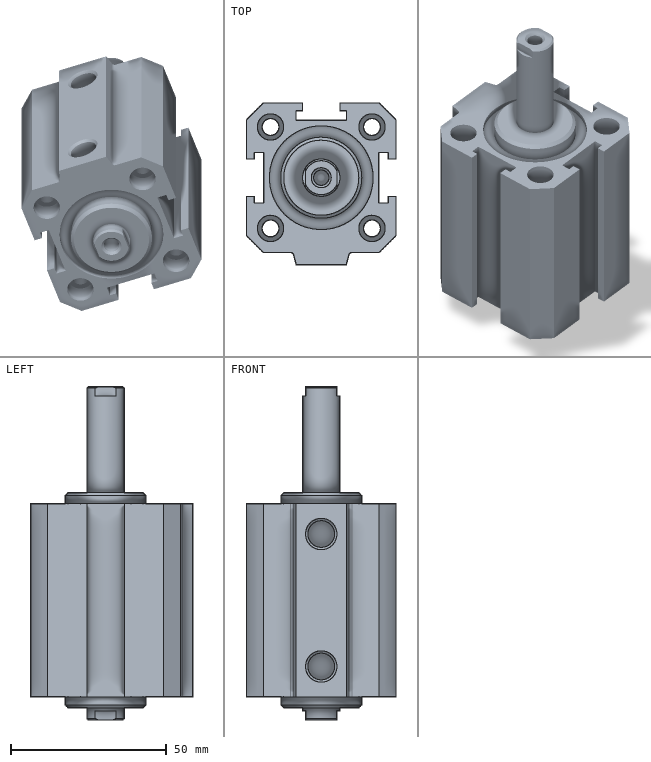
import cadquery as cq
import math


housing_width = 48.0
housing_height = 62.0
corner_chamfer = 5.5

slot_mouth_width = 12.0
slot_inner_width = 16.2
slot_lip = 2.6
slot_depth = 5.6

overall_depth = 52.0
rib_height = overall_depth - housing_width
rib_face_width = 16.0
rib_flank_angle = 15.0
rib_root_radius = 1.0

port_diameter = 8.6
port_chamfer = 0.7
port_depth = 7.5
port_end_distance = 9.7

mount_spacing = 32.5
mount_diameter = 5.4
counterbore_diameter = 8.5
counterbore_depth = 7.5

recess_diameter = 33.3
recess_depth = 1.7
collar_diameter = 26.0
collar_height = 3.5
collar_chamfer = 1.0

rod_diameter = 12.0
rod_length = 107.0
rod_bottom_reach = 4.0
rod_chamfer = 0.5
flat_width = 10.0
flat_height = 3.0
rod_hole_diameter = 4.9
rod_hole_depth = 11.8
rod_hole_chamfer = 0.7

half_width = housing_width / 2
mid_height = housing_height / 2
rod_bottom = -collar_height - rod_bottom_reach


def both_ends(shape, middle):
    """Return the shape together with its mirror image about the level z = middle."""
    return shape.union(shape.mirror("XY", (0, 0, middle)))


def make_slot():
    """T-slot cutter for the back face, running the full height of the housing."""
    mouth = cq.Workplane("XY").box(
        slot_mouth_width, slot_depth, housing_height, centered=(True, False, False)
    )
    inner = cq.Workplane("XY").box(
        slot_inner_width, slot_depth - slot_lip, housing_height, centered=(True, False, False)
    )
    return mouth.union(inner).translate((0, half_width - slot_depth, 0))


def make_rib():
    """Front rib with sloping flanks and concave fillets at its root."""
    face_half = rib_face_width / 2
    root_half = face_half + rib_height * math.tan(math.radians(rib_flank_angle))
    turn = math.radians(90 - rib_flank_angle)
    fillet_reach = root_half + rib_root_radius * math.tan(turn / 2)

    def on_fillet(angle):
        x = fillet_reach - rib_root_radius * math.sin(angle)
        y = -half_width - rib_root_radius * (1 - math.cos(angle))
        return x, y

    mid_x, mid_y = on_fillet(turn / 2)
    end_x, end_y = on_fillet(turn)
    face_y = -half_width - rib_height
    return (
        cq.Workplane("XY")
        .moveTo(-fillet_reach, -half_width)
        .threePointArc((-mid_x, mid_y), (-end_x, end_y))
        .lineTo(-face_half, face_y)
        .lineTo(face_half, face_y)
        .lineTo(end_x, end_y)
        .threePointArc((mid_x, mid_y), (fillet_reach, -half_width))
        .lineTo(fillet_reach, -half_width + rib_height)
        .lineTo(-fillet_reach, -half_width + rib_height)
        .close()
        .extrude(housing_height)
    )


def make_bore(diameter, depth, chamfer):
    """Blind-hole cutter going down from z = 0, with a 45 degree chamfer at its mouth."""
    radius = diameter / 2
    return (
        cq.Workplane("XZ")
        .polyline([
            (0, 0),
            (radius + chamfer, 0),
            (radius, -chamfer),
            (radius, -depth),
            (0, -depth),
        ])
        .close()
        .revolve(360, (0, 0, 0), (0, 1, 0))
    )


def make_port(height):
    """Port cutter entering the rib face at the given height."""
    port = make_bore(port_diameter, port_depth, port_chamfer)
    return port.rotate((0, 0, 0), (1, 0, 0), 90).translate((0, -half_width - rib_height, height))


def make_mounting_holes():
    """Four through holes with a counterbore at each end."""
    through = (
        cq.Workplane("XY")
        .rect(mount_spacing, mount_spacing, forConstruction=True)
        .vertices()
        .circle(mount_diameter / 2)
        .extrude(housing_height)
    )
    counterbores = (
        cq.Workplane("XY")
        .rect(mount_spacing, mount_spacing, forConstruction=True)
        .vertices()
        .circle(counterbore_diameter / 2)
        .extrude(counterbore_depth)
    )
    return through.union(both_ends(counterbores, mid_height))


def make_recess():
    """Round recess cutter at the top of the housing."""
    return (
        cq.Workplane("XY", origin=(0, 0, housing_height - recess_depth))
        .circle(recess_diameter / 2)
        .extrude(recess_depth)
    )


def make_collar():
    """Chamfered collar rising from the recess floor at the top of the housing."""
    return (
        cq.Workplane("XY", origin=(0, 0, housing_height - recess_depth))
        .circle(collar_diameter / 2)
        .extrude(recess_depth + collar_height)
        .faces(">Z")
        .edges()
        .chamfer(collar_chamfer)
    )


def make_housing():
    """Housing with slots, rib, ports, mounting holes and collars, bored for the rod."""
    body = (
        cq.Workplane("XY")
        .rect(housing_width, housing_width)
        .extrude(housing_height)
        .edges("|Z")
        .chamfer(corner_chamfer)
        .union(make_rib())
    )
    for angle in (-90, 0, 90):
        body = body.cut(make_slot().rotate((0, 0, 0), (0, 0, 1), angle))
    for height in (port_end_distance, housing_height - port_end_distance):
        body = body.cut(make_port(height))
    body = body.cut(make_mounting_holes())
    body = body.cut(both_ends(make_recess(), mid_height))
    body = body.union(both_ends(make_collar(), mid_height))
    rod_passage = (
        cq.Workplane("XY", origin=(0, 0, rod_bottom))
        .circle(rod_diameter / 2)
        .extrude(rod_length)
    )
    return body.cut(rod_passage)


def make_rod():
    """Through rod with chamfered ends, a pair of flats and a blind hole at each end."""
    rod_middle = rod_bottom + rod_length / 2
    rod_top = rod_bottom + rod_length
    rod = (
        cq.Workplane("XY", origin=(0, 0, rod_bottom))
        .circle(rod_diameter / 2)
        .extrude(rod_length)
        .faces("<Z or >Z")
        .edges()
        .chamfer(rod_chamfer)
    )
    flats = (
        cq.Workplane("XY", origin=(0, 0, rod_top - flat_height))
        .rect(rod_diameter, rod_diameter)
        .rect(flat_width, rod_diameter)
        .extrude(flat_height)
    )
    hole = make_bore(rod_hole_diameter, rod_hole_depth, rod_hole_chamfer).translate((0, 0, rod_top))
    return rod.cut(both_ends(flats, rod_middle)).cut(both_ends(hole, rod_middle))


housing = make_housing()
rod = make_rod()

result = cq.Compound.makeCompound([housing.solids().val(), rod.solids().val()])